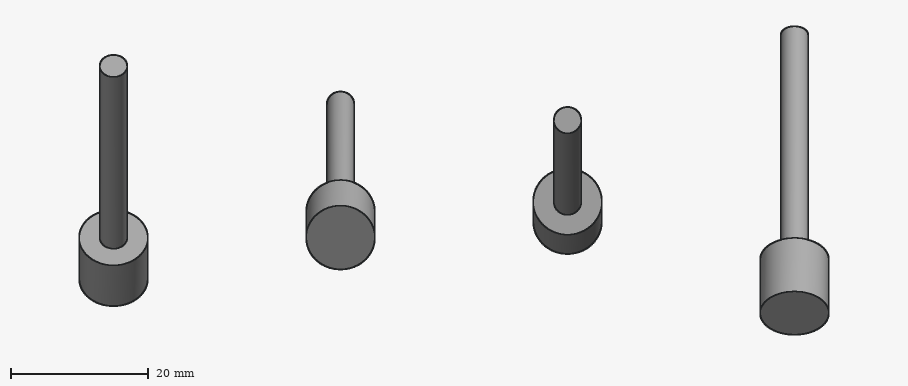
import cadquery as cq

head_diameter = 10.0
head_height = 10.0
pin_diameter = 4.0
total_height = 52.0

pin_length = total_height - head_height


def make_head():
    """Cylindrical head standing on the XY plane, centred on the Z axis."""
    return cq.Workplane("XY").circle(head_diameter / 2).extrude(head_height)


def add_pin(head):
    """Slender round pin rising from the centre of the head's top face."""
    return head.faces(">Z").workplane().circle(pin_diameter / 2).extrude(pin_length)


result = add_pin(make_head())